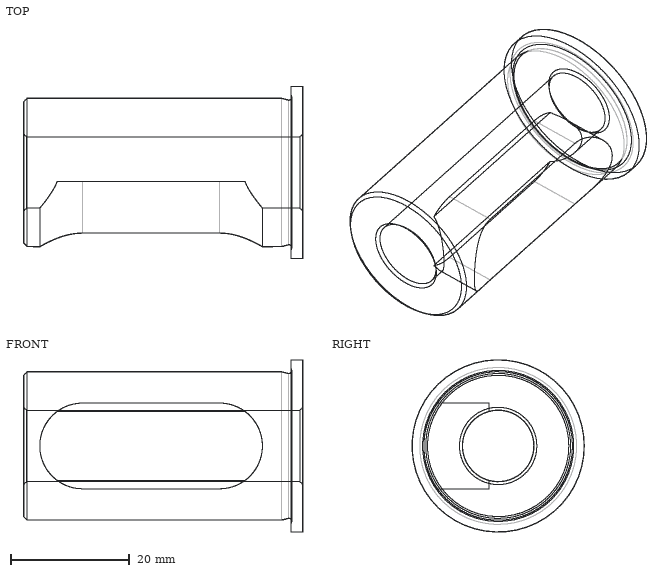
import cadquery as cq
import math

total_length = 47.0
flange_diameter = 29.0
flange_thickness = 2.0
body_diameter = 25.0
body_chamfer = 0.6
bore_diameter = 12.0
bore_chamfer = 0.5

relief_width = 1.55
relief_diameter = 24.4
relief_taper_angle = 15.0
relief_corner_radius = 0.5
relief_face_diameter = 26.4
relief_face_depth = 0.15

window_start = 2.73
window_end = 40.2
window_width = 14.45
window_floor_y = -1.5

flange_face_x = total_length - flange_thickness
body_radius = body_diameter / 2
flange_radius = flange_diameter / 2


def make_flanged_body():
    """Revolve the outer profile, including the relief undercut."""
    relief_radius = relief_diameter / 2
    taper_start_x = flange_face_x - relief_width
    taper_length = (body_radius - relief_radius) / math.tan(math.radians(relief_taper_angle))
    relief_end_x = flange_face_x + relief_face_depth
    corner_start_x = relief_end_x - relief_corner_radius
    corner_end_radius = relief_radius + relief_corner_radius
    corner_offset = relief_corner_radius * math.sqrt(0.5)
    corner_mid = (corner_start_x + corner_offset, corner_end_radius - corner_offset)

    profile = (
        cq.Workplane("XY")
        .moveTo(0, 0)
        .lineTo(0, body_radius - body_chamfer)
        .lineTo(body_chamfer, body_radius)
        .lineTo(taper_start_x, body_radius)
        .lineTo(taper_start_x + taper_length, relief_radius)
        .lineTo(corner_start_x, relief_radius)
        .threePointArc(corner_mid, (relief_end_x, corner_end_radius))
        .lineTo(flange_face_x, relief_face_diameter / 2)
        .lineTo(flange_face_x, flange_radius)
        .lineTo(total_length, flange_radius)
        .lineTo(total_length, 0)
        .close()
    )
    return profile.revolve(360, (0, 0, 0), (1, 0, 0))


def make_bore():
    """Through bore with a chamfered mouth at each end."""
    bore_radius = bore_diameter / 2
    profile = (
        cq.Workplane("XY")
        .moveTo(0, 0)
        .lineTo(0, bore_radius + bore_chamfer)
        .lineTo(bore_chamfer, bore_radius)
        .lineTo(total_length - bore_chamfer, bore_radius)
        .lineTo(total_length, bore_radius + bore_chamfer)
        .lineTo(total_length, 0)
        .close()
    )
    return profile.revolve(360, (0, 0, 0), (1, 0, 0))


def make_window():
    """Round-ended cutter from the window floor out past the flange."""
    window_center_x = (window_start + window_end) / 2
    return (
        cq.Workplane("XZ", origin=(window_center_x, window_floor_y, 0))
        .slot2D(window_end - window_start, window_width)
        .extrude(flange_radius + window_floor_y)
    )


result = make_flanged_body().cut(make_bore()).cut(make_window())